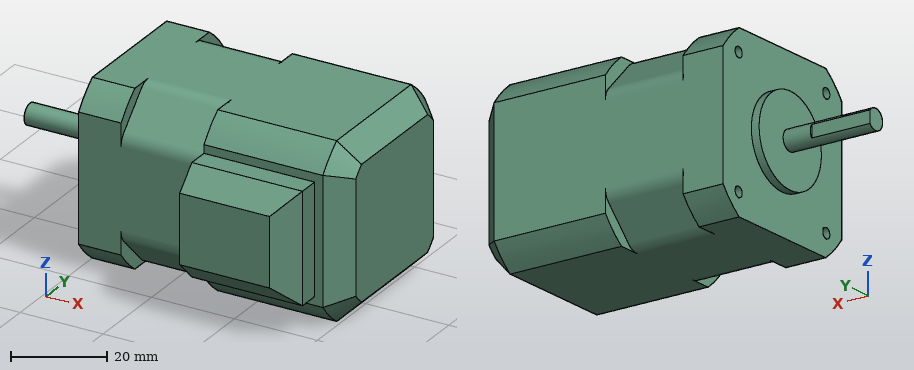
import cadquery as cq
import math

body_width = 42.0
corner_diameter = 52.0
body_length = 64.0
rear_chamfer = 5.0

relief_start = 10.3
relief_length = 20.0
relief_end = relief_start + relief_length
relief_flat_distance = 23.0
relief_edge_radius = 4.0

boss_diameter = 22.0
boss_height = 2.0
shaft_diameter = 5.0
shaft_length = 22.0
shaft_flat_length = 15.0
shaft_flat_height = 2.0

hole_pitch = 31.0
hole_diameter = 2.5
hole_depth = 4.5
drill_point_angle = 118.0

housing_width = 26.6
housing_height = 10.0
housing_chamfer = 5.0
housing_end = 57.0

end_face = cq.Workplane("YZ")


def rod(diameter, start, length):
    """Cylinder about the X axis."""
    return end_face.workplane(offset=start).circle(diameter / 2).extrude(length)


def square_bar(width, start, length):
    """Square prism about the X axis."""
    return end_face.workplane(offset=start).rect(width, width).extrude(length)


def rounded_body():
    """Square body with rounded corners and a chamfered rear end."""
    square = square_bar(body_width, 0, body_length)
    body = square.intersect(rod(corner_diameter, 0, body_length))
    return body.faces(">X").chamfer(rear_chamfer)


def corner_relief():
    """Material removed from all four corners of the middle section."""
    square = square_bar(body_width, relief_start, relief_length)
    diagonal_bar = square_bar(2 * relief_flat_distance, relief_start, relief_length)
    diagonal_bar = diagonal_bar.rotate((0, 0, 0), (1, 0, 0), 45)
    core = square.intersect(diagonal_bar).edges("|X").fillet(relief_edge_radius)
    return square.cut(core)


def shaft():
    """Output shaft with a flat at its free end."""
    tip = -boss_height - shaft_length
    round_shaft = rod(shaft_diameter, tip, shaft_length + boss_height)
    flat_cut = (
        cq.Workplane("XY")
        .box(shaft_flat_length, shaft_diameter, shaft_diameter, centered=(False, False, True))
        .translate((tip, shaft_flat_height, 0))
    )
    return round_shaft.cut(flat_cut)


def mounting_hole():
    """Blind drilled hole along +X with a conical bottom."""
    radius = hole_diameter / 2
    point_length = radius / math.tan(math.radians(drill_point_angle / 2))
    profile = [(0, 0), (0, radius), (hole_depth, radius), (hole_depth + point_length, 0)]
    return cq.Workplane("XY").polyline(profile).close().revolve(360, (0, 0, 0), (1, 0, 0))


def connector_housing():
    """Block on the -Y side, chamfered along both sides and its rear end."""
    length = housing_end - relief_end
    block = (
        cq.Workplane("XY")
        .box(length, housing_height, housing_width, centered=(False, False, True))
        .translate((relief_end, -body_width / 2 - housing_height, 0))
    )
    outer_face = block.faces("<Y")
    chamfered_edges = outer_face.edges("|X").add(outer_face.edges(">X"))
    return chamfered_edges.chamfer(housing_chamfer)


result = rounded_body().cut(corner_relief())
result = result.union(rod(boss_diameter, -boss_height, boss_height))
result = result.union(shaft())
result = result.union(connector_housing())

for y_side in (-1, 1):
    for z_side in (-1, 1):
        hole_center = (0, y_side * hole_pitch / 2, z_side * hole_pitch / 2)
        result = result.cut(mounting_hole().translate(hole_center))